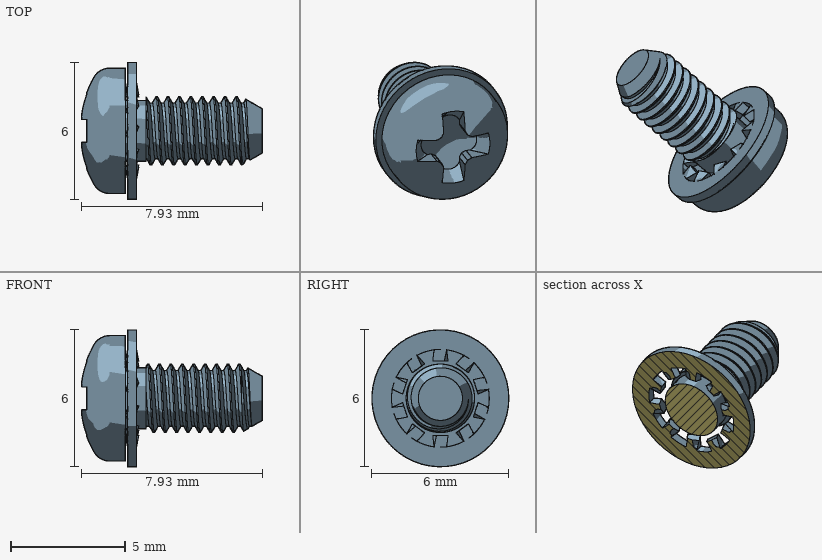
import cadquery as cq
import math


head_radius = 2.75
head_height = 2.0
crown_radius = 4.76
head_round = 0.8

arm_half_width = 0.49
arm_corner_width = 0.3
arm_corner_knee = 0.1
mouth_reach = 1.68
mouth_side_reach = 1.61
floor_reach = 1.27
floor_side_reach = 1.0
wall_depth = 0.65
floor_cone_depth = 0.22
mouth_x = -head_height + crown_radius - math.sqrt(crown_radius**2 - mouth_reach**2)
floor_apex_x = mouth_x + wall_depth + floor_cone_depth

screw_length = 6.0
shank_radius = 1.34
thread_start = 0.91
thread_radius = 1.5
pitch = 0.5
flank_angle = math.radians(30)
crest_width = pitch / 8
root_width = pitch / 4
thread_height = (pitch - crest_width - root_width) / 2 / math.tan(flank_angle)
root_radius = thread_radius - thread_height
crest_at_bottom = 1.245
ridge_overlap = 0.02

tip_radius = 0.97
tip_angle = math.radians(30)

washer_radius = 3.0015
washer_thickness = 0.4
washer_gap = 0.095
tooth_root_radius = 2.14
tooth_tip_radius = 1.625
tooth_count = 10
tooth_twist = 24.0
twist = math.radians(tooth_twist)
half_thickness = washer_thickness / 2
tooth_half_width = (half_thickness + washer_gap - half_thickness * math.cos(twist)) / math.sin(twist)


def turned(profile):
    """Solid of revolution about X of a closed profile drawn as (x, radius)."""
    return profile.close().revolve(360, (0, 0, 0), (1, 0, 0))


def make_head():
    """Domed head: a spherical crown blended into the cylindrical side."""
    crown_centre = crown_radius - head_height
    round_centre_r = head_radius - head_round
    lean = math.asin(round_centre_r / (crown_radius - head_round))
    round_centre_x = crown_centre - (crown_radius - head_round) * math.cos(lean)

    def on_crown(angle):
        return (crown_centre - crown_radius * math.cos(angle), crown_radius * math.sin(angle))

    def on_round(angle):
        return (round_centre_x - head_round * math.cos(angle), round_centre_r + head_round * math.sin(angle))

    profile = (
        cq.Workplane("XY")
        .moveTo(-head_height, 0)
        .threePointArc(on_crown(lean / 2), on_crown(lean))
        .threePointArc(on_round((lean + math.pi / 2) / 2), on_round(math.pi / 2))
        .lineTo(0, head_radius)
        .lineTo(0, 0)
    )
    return turned(profile)


def recess_bar_section(x):
    """Section at x of two opposite arms: straight sides, and arc ends that draw in with depth."""
    depth_share = (x - mouth_x) / wall_depth
    reach = mouth_reach + depth_share * (floor_reach - mouth_reach)
    side_reach = mouth_side_reach + depth_share * (floor_side_reach - mouth_side_reach)
    outline = (
        cq.Workplane("YZ", origin=(x, 0, 0))
        .moveTo(-side_reach, -arm_half_width)
        .lineTo(side_reach, -arm_half_width)
        .threePointArc((reach, 0), (side_reach, arm_half_width))
        .lineTo(-side_reach, arm_half_width)
        .threePointArc((-reach, 0), (-side_reach, -arm_half_width))
        .close()
    )
    return outline.wires().val()


def make_recess():
    """Tool for the cross recess: two crossing bars around a hub with cut-back corners, on a conical floor."""
    bar = cq.Workplane(
        cq.Solid.makeLoft([recess_bar_section(-head_height), recess_bar_section(floor_apex_x)], True)
    )
    wide = arm_half_width + arm_corner_width
    knee = arm_half_width + arm_corner_knee
    corner = [(wide, arm_half_width), (knee, knee), (arm_half_width, wide)]
    hub_points = []
    for _ in range(4):
        hub_points += corner
        corner = [(-z, y) for y, z in corner]
    hub = (
        cq.Workplane("YZ", origin=(-head_height, 0, 0))
        .polyline(hub_points)
        .close()
        .extrude(floor_apex_x + head_height)
    )
    cross = hub.union(bar).union(bar.rotate((0, 0, 0), (1, 0, 0), 90))

    floor_slope = floor_cone_depth / floor_reach
    floor_limit = turned(
        cq.Workplane("XY")
        .moveTo(-head_height, 0)
        .lineTo(-head_height, head_radius)
        .lineTo(floor_apex_x - head_radius * floor_slope, head_radius)
        .lineTo(floor_apex_x, 0)
    )
    return cross.intersect(floor_limit)


def make_thread():
    """Helical ridge, longer than the threaded length at both ends."""
    turns_before = math.ceil((crest_at_bottom - thread_start) / pitch) + 1
    ridge_start = crest_at_bottom - turns_before * pitch
    ridge_length = screw_length - ridge_start
    crest_half = crest_width / 2
    base_radius = root_radius - ridge_overlap
    base_half = crest_half + (thread_height + ridge_overlap) * math.tan(flank_angle)
    helix = cq.Wire.makeHelix(pitch, ridge_length, root_radius)
    ridge = (
        cq.Workplane("XZ")
        .polyline([
            (base_radius, -base_half),
            (thread_radius, -crest_half),
            (thread_radius, crest_half),
            (base_radius, base_half),
        ])
        .close()
        .sweep(cq.Workplane(helix), isFrenet=True)
    )
    return ridge.rotate((0, 0, 0), (0, 1, 0), 90).translate((ridge_start, 0, 0))


def make_threaded_end():
    """Threaded core from the plain shank to the conical tip."""
    envelope_radius = thread_radius + crest_width
    envelope_cone = (envelope_radius - tip_radius) / math.tan(tip_angle)
    envelope = turned(
        cq.Workplane("XY")
        .moveTo(thread_start, 0)
        .lineTo(thread_start, envelope_radius)
        .lineTo(screw_length - envelope_cone, envelope_radius)
        .lineTo(screw_length, tip_radius)
        .lineTo(screw_length, 0)
    )
    core = cq.Workplane("YZ").circle(root_radius).extrude(screw_length)
    return core.union(make_thread()).intersect(envelope)


def make_screw():
    shank = cq.Workplane("YZ").circle(shank_radius).extrude(thread_start)
    return make_head().cut(make_recess()).union(shank).union(make_threaded_end())


def make_tooth(angle):
    """Tooth running inward from the rim, twisting steadily about its own radial line."""
    mid_x = washer_gap + half_thickness

    def section(radius, turn):
        plane = cq.Plane(origin=(mid_x, 0, radius), xDir=(1, 0, 0), normal=(0, 0, 1))
        outline = cq.Workplane(plane).transformed(rotate=(0, 0, turn)).rect(washer_thickness, 2 * tooth_half_width)
        return outline.wires().val()

    tooth = cq.Solid.makeLoft([section(tooth_root_radius, 0), section(tooth_tip_radius, -tooth_twist)], True)
    return cq.Workplane(tooth).rotate((0, 0, 0), (1, 0, 0), angle)


def make_washer():
    washer = (
        cq.Workplane("YZ", origin=(washer_gap, 0, 0))
        .circle(washer_radius)
        .circle(tooth_root_radius)
        .extrude(washer_thickness)
    )
    for index in range(tooth_count):
        washer = washer.union(make_tooth(index * 360 / tooth_count))
    return washer


screw = make_screw()
washer = make_washer()

result = cq.Compound.makeCompound([screw.solids().val(), washer.solids().val()])